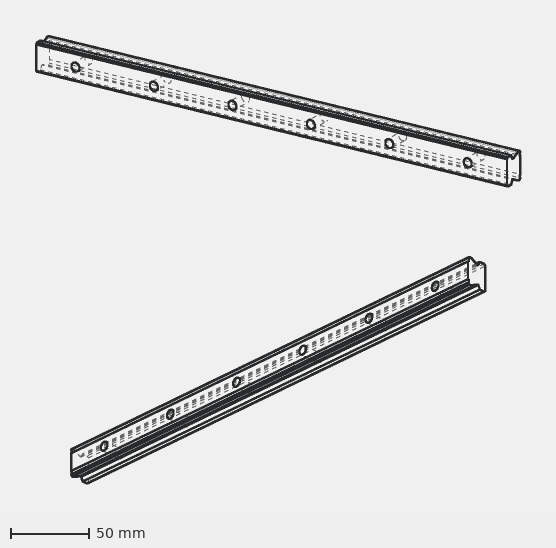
import cadquery as cq
import math

length = 360.0
depth = 15.5
height = 20.0

base_chamfer = 1.0
base_depth = 5.0
groove_wall_run = 1.5
groove_depth = 3.0
groove_floor = 1.0
head_flat = 1.5
head_round_reach = 1.0
head_chamfer = 1.0
track_top = 9.0
track_bottom = 6.5
track_depth = 0.7

hole_count = 6
hole_diameter = 6.0
hole_pitch = length / hole_count

y_back = depth / 2
y_front = -depth / 2
z_top = height / 2
z_groove = z_top - groove_depth
y_base_edge = y_front + base_depth
y_groove_front = y_base_edge + groove_wall_run
y_groove_back = y_groove_front + groove_floor
y_head_edge = y_back - head_chamfer - head_flat
slope_angle = math.atan2(groove_depth, y_head_edge - y_groove_back)
y_round_end = y_head_edge - head_round_reach * math.cos(slope_angle)
z_round_end = z_top - head_round_reach * math.sin(slope_angle)
y_round_start = y_head_edge + head_round_reach
track_middle = (track_top + track_bottom) / 2


def half_rail():
    """Upper half of the rail, from the middle plane Z = 0 up."""
    return (
        cq.Workplane("YZ")
        .moveTo(y_front, 0)
        .lineTo(y_front, z_top - base_chamfer)
        .lineTo(y_front + base_chamfer, z_top)
        .lineTo(y_base_edge, z_top)
        .lineTo(y_groove_front, z_groove)
        .lineTo(y_groove_back, z_groove)
        .lineTo(y_round_end, z_round_end)
        .tangentArcPoint((y_round_start, z_top), relative=False)
        .lineTo(y_back - head_chamfer, z_top)
        .lineTo(y_back, track_top)
        .threePointArc((y_back - track_depth, track_middle), (y_back, track_bottom))
        .lineTo(y_back, 0)
        .close()
        .extrude(length / 2, both=True)
    )


def mounting_holes():
    """Row of plain holes running through the rail along Y."""
    return (
        cq.Workplane("XZ")
        .rarray(hole_pitch, 3.5, hole_count, 1)
        .circle(hole_diameter / 2)
        .extrude(depth, both=True)
    )


upper_half = half_rail()
rail = upper_half.union(upper_half.mirror("XY")).clean()
result = rail.cut(mounting_holes())